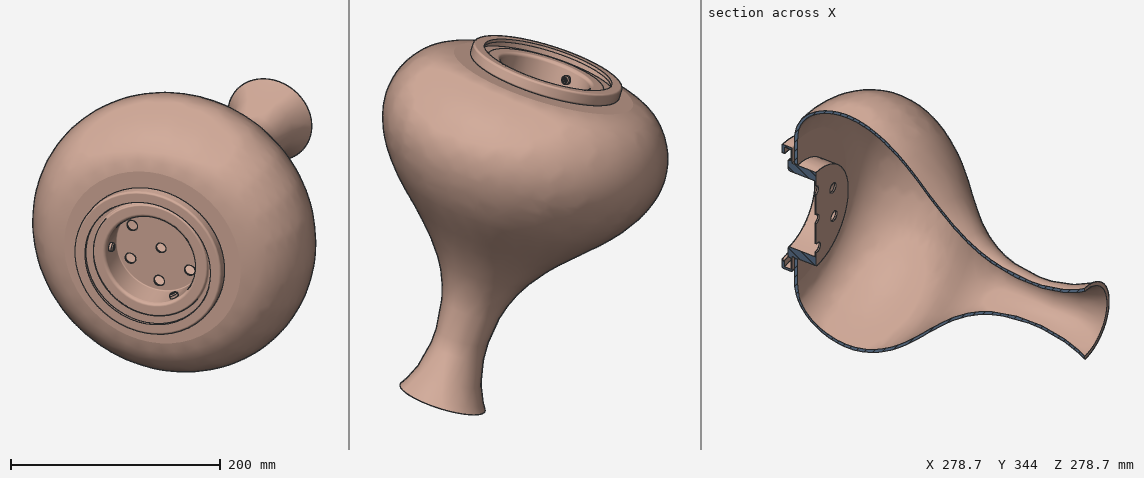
import cadquery as cq

OVERALL_LENGTH = 344.0

BELLY_RADIUS = 139.3
BELLY_Y = 72.2
VASE_BOTTOM_Y = 14.0
BOTTOM_FACE_RADIUS = 89.5
NECK_RADIUS = 25.8
NECK_Y = 283.8
MOUTH_RADIUS = 42.5
VASE_WALL = 4.0
LOWER_BELLY = (122.8, 31.0)
UPPER_BELLY = (121.8, 124.2)
SHOULDER = (73.3, 177.0)
LOWER_NECK = (39.0, 223.5)
UPPER_NECK = (31.3, 320.0)

FLANGE_RADIUS = 74.3
FLANGE_BACK_Y = 12.0
FLANGE_FILLET = 2.0
FLANGE_WALL = 3.0
LIP_RADIUS = 63.5
LIP_THICKNESS = 3.0
RING_FLOOR_Y = 10.3

PLUG_RADIUS = 56.0
RIM_RADIUS = 58.0
RIM_Y = 7.0
RIM_FILLET = 1.7
RIM_ROOT_FILLET = 1.5
BORE_RADIUS = 45.0
BORE_LIP_FILLET = 3.0
BORE_FLOOR_Y = 37.5
BORE_FLOOR_FILLET = 1.0
FLOOR_THICKNESS = 1.7
CUP_BACK_Y = BORE_FLOOR_Y + FLOOR_THICKNESS

CENTER_HOLE_DIAMETER = 10.0
VENT_COUNT = 6
VENT_DIAMETER = 10.5
VENT_CIRCLE_RADIUS = 34.7
FIRST_VENT_ANGLE = 87.0

STUD_COUNT = 3
STUD_DIAMETER = 8.5
STUD_TIP_RADIUS = 41.0
STUD_CHAMFER = 1.5
STUD_SOCKET_DIAMETER = 3.5
STUD_SOCKET_DEPTH = 2.8
STUD_ROOT_RADIUS = (BORE_RADIUS + PLUG_RADIUS) / 2
STUD_Y = 19.0
FIRST_STUD_ANGLE = FIRST_VENT_ANGLE - 180 / VENT_COUNT


def turn(profile):
    """Revolve a closed (radius, Y) profile once around the Y axis."""
    return profile.close().revolve(360, (0, 0, 0), (0, 1, 0))


def make_vase_form(inset):
    """Solid vase shape, drawn in by the inset at its side and its bottom."""
    outline = [
        LOWER_BELLY,
        (BELLY_RADIUS, BELLY_Y),
        UPPER_BELLY,
        SHOULDER,
        LOWER_NECK,
        (NECK_RADIUS, NECK_Y),
        UPPER_NECK,
        (MOUTH_RADIUS, OVERALL_LENGTH),
    ]
    inset_outline = [(radius - inset, y) for radius, y in outline]
    bottom_y = VASE_BOTTOM_Y + inset
    return turn(
        cq.Workplane("XY")
        .moveTo(0, bottom_y)
        .lineTo(BOTTOM_FACE_RADIUS - inset, bottom_y)
        .spline(inset_outline, includeCurrent=True)
        .lineTo(0, OVERALL_LENGTH)
    )


def make_vase():
    plug_hole = cq.Workplane("XZ").circle(PLUG_RADIUS).extrude(-CUP_BACK_Y)
    return make_vase_form(0).cut(make_vase_form(VASE_WALL)).cut(plug_hole)


def make_base_blank():
    """Flange ring and cup as one turned piece, before the holes and studs."""
    cavity_radius = FLANGE_RADIUS - FLANGE_WALL
    return turn(
        cq.Workplane("XY")
        .moveTo(0, BORE_FLOOR_Y)
        .lineTo(BORE_RADIUS - BORE_FLOOR_FILLET, BORE_FLOOR_Y)
        .radiusArc((BORE_RADIUS, BORE_FLOOR_Y - BORE_FLOOR_FILLET), BORE_FLOOR_FILLET)
        .lineTo(BORE_RADIUS, RIM_Y + BORE_LIP_FILLET)
        .radiusArc((BORE_RADIUS + BORE_LIP_FILLET, RIM_Y), -BORE_LIP_FILLET)
        .lineTo(RIM_RADIUS - RIM_FILLET, RIM_Y)
        .radiusArc((RIM_RADIUS, RIM_Y + RIM_FILLET), -RIM_FILLET)
        .lineTo(RIM_RADIUS, RING_FLOOR_Y - RIM_ROOT_FILLET)
        .radiusArc((RIM_RADIUS + RIM_ROOT_FILLET, RING_FLOOR_Y), RIM_ROOT_FILLET)
        .lineTo(cavity_radius, RING_FLOOR_Y)
        .lineTo(cavity_radius, LIP_THICKNESS)
        .lineTo(LIP_RADIUS, LIP_THICKNESS)
        .lineTo(LIP_RADIUS, 0)
        .lineTo(FLANGE_RADIUS - FLANGE_FILLET, 0)
        .radiusArc((FLANGE_RADIUS, FLANGE_FILLET), -FLANGE_FILLET)
        .lineTo(FLANGE_RADIUS, FLANGE_BACK_Y - FLANGE_FILLET)
        .radiusArc((FLANGE_RADIUS - FLANGE_FILLET, FLANGE_BACK_Y), -FLANGE_FILLET)
        .lineTo(PLUG_RADIUS, FLANGE_BACK_Y)
        .lineTo(PLUG_RADIUS, CUP_BACK_Y)
        .lineTo(0, CUP_BACK_Y)
    )


def make_floor_holes():
    center_hole = cq.Workplane("XZ").circle(CENTER_HOLE_DIAMETER / 2).extrude(-CUP_BACK_Y)
    vents = (
        cq.Workplane("XZ")
        .polarArray(VENT_CIRCLE_RADIUS, FIRST_VENT_ANGLE, 360, VENT_COUNT)
        .circle(VENT_DIAMETER / 2)
        .extrude(-CUP_BACK_Y)
    )
    return center_hole.add(vents).combine()


def make_stud(angle):
    """Stud with a socketed tip, at an angle from +X toward +Z."""
    stud = (
        cq.Workplane("YZ", origin=(STUD_TIP_RADIUS, STUD_Y, 0))
        .circle(STUD_DIAMETER / 2)
        .extrude(STUD_ROOT_RADIUS - STUD_TIP_RADIUS)
        .faces("<X")
        .chamfer(STUD_CHAMFER)
        .faces("<X")
        .workplane()
        .hole(STUD_SOCKET_DIAMETER, STUD_SOCKET_DEPTH)
    )
    return stud.rotate((0, 0, 0), (0, 1, 0), -angle)


def make_base():
    base = make_base_blank().cut(make_floor_holes())
    for i in range(STUD_COUNT):
        base = base.union(make_stud(FIRST_STUD_ANGLE + i * 360 / STUD_COUNT))
    return base


vase = make_vase()
base = make_base()

result = cq.Compound.makeCompound([vase.solids().val(), base.solids().val()])